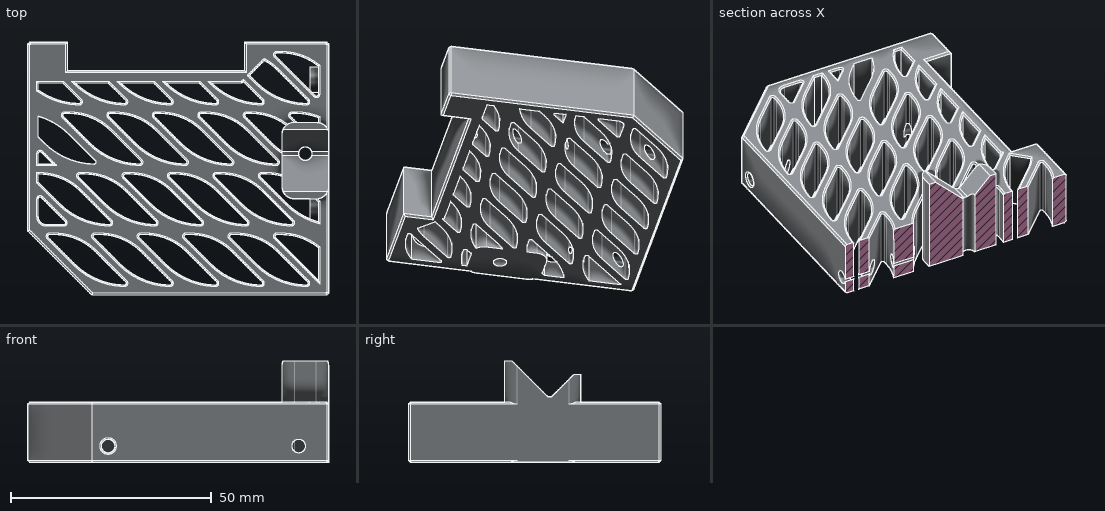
import cadquery as cq
import math

length = 75
width = 63
body_height = 15
corner_cut = 16.0
notch_left = 10.0
notch_right = 54
notch_floor = 55.9
edge_chamfer = 0.5

leaf_height = 12.6
leaf_breadth = 8.25
upper_radius = 14.6
lower_radius = 18
end_leaf_lower_radius = 0.75
tip_radius = 0.45
rim_chamfer = 0.4

leaf_pitch = 11.3
row_pitch = 15.1
row_shift = -leaf_pitch / 3
first_leaf_x = 14.8
first_leaf_y = 8.8
leaf_columns = ((0, 4), (0, 5), (1, 6), (0, 5))
sharp_leaf = (2, 0)
front_end_leaf = (0, 5)
back_end_leaf = (3, 6)
rounded_triangle = (1, -1)
plain_triangle = (2, -1)
rounded_triangle_radius = 2.0

wall = 2.6
window_back = 52.8
tab_window_back = 60.75
tab_window_x = 59.2
tab_window_y = 58.65

block_left = 63.3
block_front = 23.9
block_back = 43.0
block_height = 25.3
block_back_height = 21.9
block_front_radius = 6.4 / 2
block_back_radius = 3
vee_floor_front = 34.7
vee_floor_back = 35.7
vee_floor_height = 16.35
vee_hole_diameter = 3.3

front_hole_diameter = 3.4
front_hole_height = 4.05
left_hole_x = 20.0
left_hole_chamfer = 0.4
right_hole_x = 67.5

boss_diameter = 6.4
boss_reach = 4.7
boss_centres_y = (21.4, 53.6)
boss_height = body_height / 2


def prism(points, height):
    return cq.Workplane("XY").polyline(points).close().extrude(height)


def make_body():
    body = prism(
        [
            (corner_cut, 0),
            (length, 0),
            (length, width),
            (notch_right, width),
            (notch_right, notch_floor),
            (notch_left, notch_floor),
            (notch_left, width),
            (0, width),
            (0, corner_cut),
        ],
        body_height,
    )
    for x, y in ((length, 0), (length, width), (0, width)):
        corner = cq.selectors.NearestToPointSelector((x, y, body_height / 2))
        body = body.edges("|Z").edges(corner).chamfer(edge_chamfer)
    return body.faces("<Z or >Z").edges().chamfer(edge_chamfer)


def leaf_centre(row, column):
    x = first_leaf_x + column * leaf_pitch + row * row_shift
    return x, first_leaf_y + row * row_pitch


def blend_arc(radius):
    """Start, middle and end of the arc between a leaf's flat top and its 45 degree right side."""
    corner_x = (leaf_breadth - leaf_height) / 2
    corner_y = leaf_height / 2
    half_turn = math.radians(45 / 2)
    tangent = radius * math.tan(half_turn)
    diagonal = tangent * math.sqrt(0.5)
    start = (corner_x - tangent, corner_y)
    middle = (
        start[0] + radius * math.sin(half_turn),
        corner_y - radius * (1 - math.cos(half_turn)),
    )
    end = (corner_x + diagonal, corner_y - diagonal)
    return start, middle, end


def make_leaf(place, top_radius, bottom_radius):
    """Leaf with two flat ends, two 45 degree sides and an arc blending each end into a side."""
    tip = (-(leaf_height + leaf_breadth) / 2, leaf_height / 2)
    opposite_tip = (-tip[0], -tip[1])
    top_start, top_middle, top_end = blend_arc(top_radius)
    bottom_start, bottom_middle, bottom_end = [(-x, -y) for x, y in blend_arc(bottom_radius)]
    leaf = (
        cq.Workplane("XY")
        .moveTo(*tip)
        .lineTo(*top_start)
        .threePointArc(top_middle, top_end)
        .lineTo(*opposite_tip)
        .lineTo(*bottom_start)
        .threePointArc(bottom_middle, bottom_end)
        .close()
        .extrude(body_height)
    )
    leaf = leaf.edges("|Z").edges("<X or >X").fillet(tip_radius)
    x, y = leaf_centre(*place)
    return leaf.translate((x, y, 0)).intersect(make_window())


def make_triangle(place):
    """Opening between the left wall and the lower end of a leaf that lies mostly in the wall."""
    x, y = leaf_centre(*place)
    bottom = y - leaf_height / 2
    tip_x = x + (leaf_height + leaf_breadth) / 2
    top = bottom + tip_x - wall
    triangle = prism([(wall, bottom), (tip_x, bottom), (wall, top)], body_height)
    return triangle.edges("|Z").edges(">Y").fillet(tip_radius)


def make_window():
    boundary_x = tab_window_x - (tab_window_y - window_back)
    return prism(
        [
            (wall, 0),
            (length - wall, 0),
            (length - wall, tab_window_back),
            (tab_window_x + tab_window_back - tab_window_y, tab_window_back),
            (tab_window_x, tab_window_y),
            (boundary_x, window_back),
            (wall, window_back),
        ],
        body_height,
    )


def make_chamfered_openings():
    openings = []
    for row, (first, last) in enumerate(leaf_columns):
        for column in range(first, last + 1):
            openings.append(make_leaf((row, column), upper_radius, lower_radius))

    openings.append(make_leaf(front_end_leaf, upper_radius, end_leaf_lower_radius))
    back_end = make_leaf(back_end_leaf, upper_radius, end_leaf_lower_radius)
    openings.append(back_end.edges("|Z").edges("<Y").fillet(tip_radius))

    openings.append(make_triangle(plain_triangle))
    rounded = make_triangle(rounded_triangle)
    rounded = rounded.edges("|Z").edges(">X").fillet(tip_radius)
    corner = cq.selectors.NearestToPointSelector((wall, 0, body_height / 2))
    openings.append(rounded.edges("|Z").edges(corner).fillet(rounded_triangle_radius))
    return openings


def chamfer_rims(plate):
    top_face = plate.faces(">Z").val()
    rims = [edge for wire in top_face.innerWires() for edge in wire.Edges()]
    return plate.newObject(rims).chamfer(rim_chamfer)


def make_bosses():
    return (
        cq.Workplane("YZ", origin=(length - boss_reach, 0, 0))
        .pushPoints([(y, boss_height) for y in boss_centres_y])
        .circle(boss_diameter / 2)
        .extrude(boss_reach - wall)
    )


def make_block():
    """Full-height block with rounded corners and a 90 degree vee cut across its top."""
    block = prism(
        [
            (block_left, block_front),
            (length, block_front),
            (length, block_back),
            (block_left, block_back),
        ],
        block_height,
    )
    block = block.edges("|Z").edges("<Y").fillet(block_front_radius)
    block = block.edges("|Z").edges(">Y").fillet(block_back_radius)

    vee = (
        cq.Workplane("YZ")
        .moveTo(vee_floor_front, vee_floor_height)
        .lineTo(vee_floor_back, vee_floor_height)
        .lineTo(vee_floor_back + block_back_height - vee_floor_height, block_back_height)
        .lineTo(block_back, block_back_height)
        .lineTo(block_back, block_height)
        .lineTo(vee_floor_front - (block_height - vee_floor_height), block_height)
        .close()
        .extrude(length)
    )
    return block.cut(vee)


def make_vee_hole():
    centre_x = (block_left + length) / 2
    centre_y = (vee_floor_front + vee_floor_back) / 2
    return (
        cq.Workplane("XY", origin=(centre_x, centre_y, 0))
        .circle(vee_hole_diameter / 2)
        .extrude(block_height)
    )


def make_front_hole(x, depth):
    return (
        cq.Workplane("XZ", origin=(x, 0, front_hole_height))
        .circle(front_hole_diameter / 2)
        .extrude(-depth)
    )


def make_left_hole():
    hole = make_front_hole(left_hole_x, window_back)
    mouth = (
        cq.Workplane("XZ", origin=(left_hole_x, 0, front_hole_height))
        .circle(front_hole_diameter / 2 + left_hole_chamfer)
        .workplane(offset=-left_hole_chamfer)
        .circle(front_hole_diameter / 2)
        .loft()
    )
    return hole.union(mouth)


result = make_body()
for opening in make_chamfered_openings():
    result = result.cut(opening)
result = chamfer_rims(result)
result = result.cut(make_leaf(sharp_leaf, lower_radius, lower_radius))

result = result.union(make_bosses())
result = result.union(make_block())

result = result.cut(make_vee_hole())
result = result.cut(make_left_hole())
result = result.cut(make_front_hole(right_hole_x, block_front))